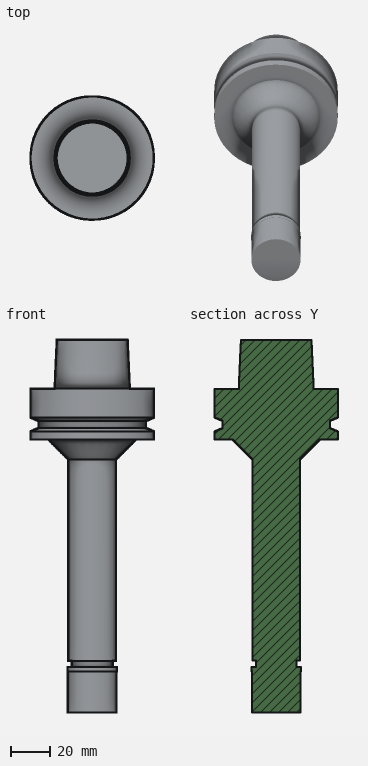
import cadquery as cq

total_length = 190.0

taper_end_diameter = 36.2
taper_base_diameter = 38.3
taper_and_base_length = 25.0
base_length = 2.0

flange_diameter = 63.0
flange_thickness = 26.0
groove_diameter = 55.0
groove_center_depth = 18.25
groove_mouth_width = 7.0
groove_flank_height = 1.75

cone_height = 10.0

shaft_diameter = 24.5
neck_diameter = 21.0
neck_length = 3.0
collar_diameter = 25.3
collar_length = 2.3
nut_diameter = 25.0
nut_length = 21.0

collar_top = nut_length + collar_length
neck_top = collar_top + neck_length
flange_top = total_length - taper_and_base_length
flange_bottom = flange_top - flange_thickness
shaft_top = flange_bottom - cone_height
base_top = flange_top + base_length


def cylinder(diameter, bottom, top):
    """Cylinder on the Z axis between two heights."""
    return cq.Workplane("XY").workplane(offset=bottom).circle(diameter / 2).extrude(top - bottom)


def cone(bottom_diameter, top_diameter, bottom, top):
    """Truncated cone on the Z axis between two heights."""
    solid = cq.Solid.makeCone(
        bottom_diameter / 2,
        top_diameter / 2,
        top - bottom,
        pnt=cq.Vector(0, 0, bottom),
    )
    return cq.Workplane(obj=solid)


def gripper_groove():
    """Ring with sloping flanks that is cut from the flange rim."""
    rim_radius = flange_diameter / 2
    floor_radius = groove_diameter / 2
    mouth_top = flange_top - groove_center_depth + groove_mouth_width / 2
    mouth_bottom = mouth_top - groove_mouth_width
    profile = [
        (rim_radius, mouth_bottom),
        (floor_radius, mouth_bottom + groove_flank_height),
        (floor_radius, mouth_top - groove_flank_height),
        (rim_radius, mouth_top),
    ]
    return cq.Workplane("XZ").polyline(profile).close().revolve(360, (0, 0, 0), (0, 1, 0))


def nut_and_shaft():
    """Clamping nut, collar, neck and shaft stacked along Z."""
    nut = cylinder(nut_diameter, 0, nut_length)
    collar = cylinder(collar_diameter, nut_length, collar_top)
    neck = cylinder(neck_diameter, collar_top, neck_top)
    shaft = cylinder(shaft_diameter, neck_top, shaft_top)
    return nut.union(collar).union(neck).union(shaft)


def flange():
    """Grooved flange with its supporting cone below."""
    cone_top_diameter = shaft_diameter + 2 * cone_height
    support = cone(shaft_diameter, cone_top_diameter, shaft_top, flange_bottom)
    disc = cylinder(flange_diameter, flange_bottom, flange_top).cut(gripper_groove())
    return disc.union(support)


def taper():
    """Short cylindrical base carrying the tapered shank."""
    base = cylinder(taper_base_diameter, flange_top, base_top)
    shank = cone(taper_base_diameter, taper_end_diameter, base_top, total_length)
    return base.union(shank)


result = nut_and_shaft().union(flange()).union(taper())